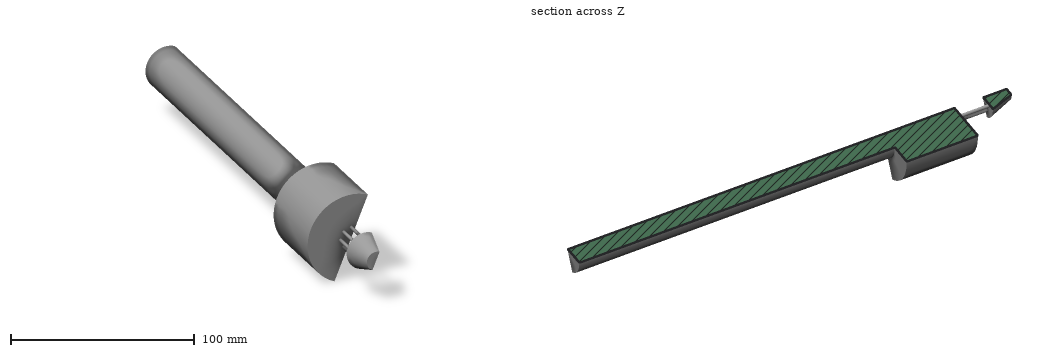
import cadquery as cq
import math

overall_length = 273.67
collar_length = 44.45
pin_length = 17.78
nose_length = 14.7
shaft_length = overall_length - collar_length - pin_length - nose_length

collar_radius = 26.16
shaft_radius = 12.8
nose_base_radius = 10.9
nose_tip_radius = 5.5

pin_count = 8
pin_radius = 0.95
pin_circle_radius = 6.4
pin_spacing = 360.0 / pin_count

cut_start_angle = 90.0 - pin_spacing / 2

shaft_start = 0.0
collar_start = shaft_start + shaft_length
pin_start = collar_start + collar_length
nose_start = pin_start + pin_length
nose_end = nose_start + nose_length


def half_round(x_start, x_end, start_radius, end_radius):
    """Half cylinder or half cone on the X axis, on the kept side of the cut."""
    profile = [
        (x_start, 0),
        (x_start, start_radius),
        (x_end, end_radius),
        (x_end, 0),
    ]
    half = cq.Workplane("XY").polyline(profile).close().revolve(180, (0, 0, 0), (1, 0, 0))
    return half.rotate((0, 0, 0), (1, 0, 0), cut_start_angle)


def kept_pins():
    """Pins of the ring that lie on the kept side of the cut."""
    first_angle = cut_start_angle + pin_spacing / 2
    centers = []
    for index in range(pin_count // 2):
        angle = math.radians(first_angle + index * pin_spacing)
        centers.append((pin_circle_radius * math.cos(angle), pin_circle_radius * math.sin(angle)))
    base = cq.Workplane("YZ", origin=(pin_start, 0, 0))
    return base.pushPoints(centers).circle(pin_radius).extrude(pin_length)


shaft = half_round(shaft_start, collar_start, shaft_radius, shaft_radius)
collar = half_round(collar_start, pin_start, collar_radius, collar_radius)
nose = half_round(nose_start, nose_end, nose_base_radius, nose_tip_radius)

result = shaft.union(collar).union(kept_pins()).union(nose)